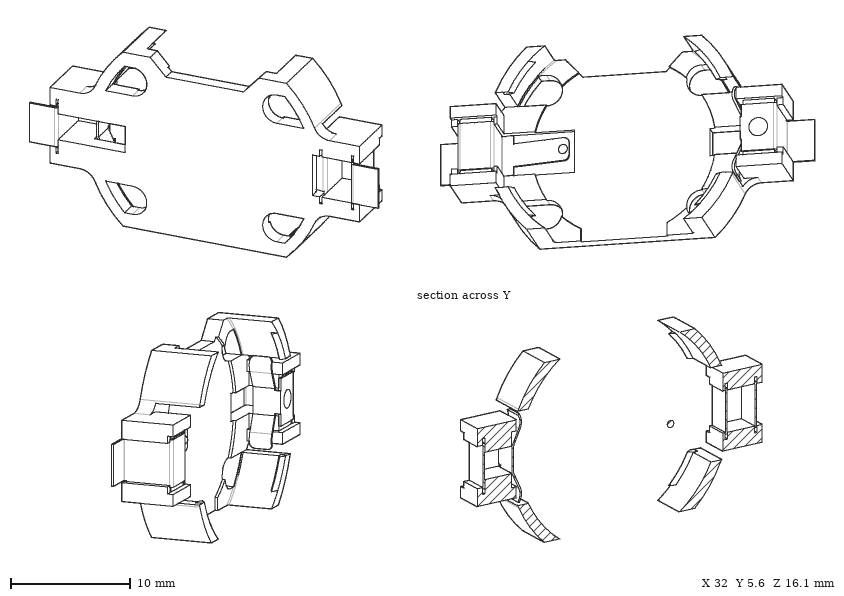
import cadquery as cq
import math


outer_radius = 11.0
half_height = 8.05
arm_reach = 14.2
arm_half_width = 3.5
arm_fillet = 1.5
base_thickness = 1.45
wall_height = 5.4
arm_height = 4.65
arm_inner_x = 10.27
wall_gap_half_width = 4.2

cell_radius = 10.0
cavity_fillet = 0.12
notch_half_width = 5.0
notch_floor_half_width = 3.56
notch_z = 6.5
recess_radius = 7.85
recess_channel_half_width = 3.7
recess_depth = 0.25

window_radius = 1.3
window_x = 6.62
window_z = 5.48
lip_projection = 0.4
lip_bottom = 4.8
lip_peak = 5.05

metal = 0.2
saddle_outer_x = 13.65
saddle_inner_x = 10.55
saddle_bottom = 4.15
saddle_top = saddle_bottom + metal
saddle_half_width = 2.05
outer_leg_inside = saddle_outer_x - metal
inner_leg_outside = saddle_inner_x + metal
bend_outer = 0.25
bend_inner = bend_outer - metal

tab_end = 16.0
tab_half_width = 1.8
tab_bottom = -0.2
tab_top = tab_bottom + metal
shoulder_y = 0.2

strip_bottom = 1.85
strip_top = 3.83
strip_corner = 0.45
stem_half_width = 1.0
wing_reach = 4.0
wing_radius = 1.2
wing_crest_x = -9.95
wing_rise_angle = math.radians(25)
wing_tip_angle = math.radians(35)
dome_radius = 0.8
dome_height = 0.2

finger_tip_x = 4.58
finger_tip_top = 2.07
finger_slope = 0.17
finger_drop = metal * math.hypot(1, finger_slope)
finger_half_width = 1.0
finger_corner = 0.45
finger_root_half_width = 1.75
finger_root_x = 9.5
dimple_x = 5.11
dimple_radius = 0.4
dimple_height = 0.28

channel_half_width = 2.48
pocket_half_width = 1.87
pocket_inner_x = 9.88
opening_half_width = 1.2
opening_inner_x = 7.3
finger_channel_floor = 0.8
finger_channel_end = 4.3


def block(x_range, y_range, z_range):
    """Box between two limits along each axis."""
    (x0, x1), (y0, y1), (z0, z1) = x_range, y_range, z_range
    centre = ((x0 + x1) / 2, (y0 + y1) / 2, (z0 + z1) / 2)
    return cq.Workplane("XY").box(abs(x1 - x0), abs(y1 - y0), abs(z1 - z0)).translate(centre)


def disc(radius, y_range, centre_x=0.0):
    """Cylinder with its axis along Y."""
    y0, y1 = y_range
    return cq.Workplane("XZ", origin=(centre_x, y0, 0)).circle(radius).extrude(y0 - y1)


def spherical_cap(base_radius, height):
    """Dome standing on y = 0, with its summit on the +Y axis."""
    ball_radius = (base_radius**2 + height**2) / (2 * height)
    half_angle = math.asin(base_radius / ball_radius) / 2
    mid_point = (ball_radius * math.sin(half_angle), height - ball_radius * (1 - math.cos(half_angle)))
    profile = cq.Workplane("XY").moveTo(0, 0).lineTo(base_radius, 0)
    profile = profile.threePointArc(mid_point, (0, height)).close()
    return profile.revolve(360, (0, 0, 0), (0, 1, 0))


def outline_prism(height):
    """Round body with flats, blended into the two arms."""
    body = disc(outer_radius, (0, height))
    body = body.intersect(block((-arm_reach, arm_reach), (0, height), (-half_height, half_height)))
    body = body.union(block((-arm_reach, arm_reach), (0, height), (-arm_half_width, arm_half_width)))
    corner_x = math.sqrt(outer_radius**2 - arm_half_width**2)
    for side in (-1, 1):
        for end in (-1, 1):
            corner = (side * corner_x, height / 2, end * arm_half_width)
            body = body.edges(cq.selectors.NearestToPointSelector(corner)).fillet(arm_fillet)
    return body


def side_walls():
    walls = outline_prism(wall_height)
    return walls.cut(
        block(
            (-arm_reach, arm_reach),
            (base_thickness, wall_height),
            (-wall_gap_half_width, wall_gap_half_width),
        )
    )


def cell_cavity():
    cavity = disc(cell_radius, (base_thickness, wall_height))
    return cavity.faces("<Y").edges().fillet(cavity_fillet)


def arms():
    """Both arms, as one bar with the space between them removed."""
    y_range = (0, arm_height)
    z_range = (-arm_half_width, arm_half_width)
    bar = block((-arm_reach, arm_reach), y_range, z_range)
    return bar.cut(block((-arm_inner_x, arm_inner_x), y_range, z_range))


def rim_contact_recess():
    """Recess in the inner end of the -X arm, behind the strip's stem."""
    return block(
        (-inner_leg_outside, -arm_inner_x),
        (base_thickness, arm_height),
        (-channel_half_width, channel_half_width),
    )


def edge_notch():
    profile = [
        (-notch_half_width, half_height),
        (-notch_floor_half_width, notch_z),
        (notch_floor_half_width, notch_z),
        (notch_half_width, half_height),
    ]
    return cq.Workplane("XZ").polyline(profile).close().extrude(-wall_height)


def floor_recess():
    y_range = (base_thickness - recess_depth, base_thickness)
    channel = block(
        (-recess_channel_half_width, recess_channel_half_width), y_range, (-half_height, half_height)
    )
    return disc(recess_radius, y_range).union(channel)


def windows():
    """Four openings, round towards the middle and bounded outside by the cell circle."""
    cutters = None
    for side in (-1, 1):
        for end in (-1, 1):
            cutter = disc(window_radius, (0, base_thickness), side * window_x).union(
                block(
                    (side * window_x, side * cell_radius),
                    (0, base_thickness),
                    (-window_radius, window_radius),
                )
            )
            cutter = cutter.translate((0, 0, end * window_z))
            cutters = cutter if cutters is None else cutters.union(cutter)
    return cutters.intersect(disc(cell_radius, (0, base_thickness)))


def snap_lips():
    """Ridges inside the walls, as wide as the windows, that hold the cell down."""
    root_radius = cell_radius + lip_projection
    profile = [
        (root_radius, lip_bottom),
        (cell_radius, lip_bottom),
        (cell_radius - lip_projection, lip_peak),
        (cell_radius, wall_height),
        (root_radius, wall_height),
    ]
    ring = cq.Workplane("XY").polyline(profile).close().revolve(360, (0, 0, 0), (0, 1, 0))
    z_range = (window_z - window_radius, window_z + window_radius)
    x_range = (-outer_radius, outer_radius)
    upper = block(x_range, (0, wall_height), z_range)
    return ring.intersect(upper.union(upper.mirror("XY")))


def contact_seat(side):
    """Channel, outer slot and end notch that take a contact's saddle and tab."""
    channel = block(
        (side * cell_radius, side * arm_reach),
        (saddle_bottom, arm_height),
        (-channel_half_width, channel_half_width),
    )
    slot = block(
        (side * outer_leg_inside, side * saddle_outer_x),
        (0, saddle_bottom),
        (-channel_half_width, channel_half_width),
    )
    end_notch = block(
        (side * outer_leg_inside, side * arm_reach),
        (0, saddle_bottom),
        (-pocket_half_width, pocket_half_width),
    )
    return channel.union(slot).union(end_notch)


def rim_contact_opening():
    return block(
        (-outer_leg_inside, -opening_inner_x),
        (0, saddle_bottom),
        (-opening_half_width, opening_half_width),
    )


def base_contact_pocket():
    """Through pocket, slot for the inner leg and the channel under the finger."""
    pocket_z = (-pocket_half_width, pocket_half_width)
    pocket = block((pocket_inner_x, outer_leg_inside), (0, saddle_bottom), pocket_z)
    inner_slot = block(
        (saddle_inner_x, inner_leg_outside),
        (0, saddle_bottom),
        (-channel_half_width, channel_half_width),
    )
    finger_channel = block(
        (finger_channel_end, pocket_inner_x), (finger_channel_floor, base_thickness), pocket_z
    )
    return pocket.union(inner_slot).union(finger_channel)


def make_housing():
    body = outline_prism(base_thickness).union(side_walls())
    body = body.cut(cell_cavity()).union(arms())
    body = body.cut(edge_notch()).cut(floor_recess()).cut(windows())
    body = body.union(snap_lips())
    for side in (-1, 1):
        body = body.cut(contact_seat(side))
    body = body.cut(rim_contact_opening()).cut(rim_contact_recess())
    return body.cut(base_contact_pocket())


def bent_sheet(outline, bends):
    """Sheet-metal strip of saddle width from its side outline, with rounded bends."""
    sheet = cq.Workplane("XY").polyline(outline).close().extrude(saddle_half_width, both=True)
    for (x, y), radius in bends:
        sheet = sheet.edges(cq.selectors.NearestToPointSelector((x, y, 0))).fillet(radius)
    return sheet


def trim_tab(sheet):
    """Narrow the outer leg's foot and the tab to the tab width."""
    for end in (-1, 1):
        sheet = sheet.cut(
            block(
                (outer_leg_inside, tab_end),
                (tab_bottom, shoulder_y),
                (end * tab_half_width, end * saddle_half_width),
            )
        )
    return sheet


tab_outline = [
    (saddle_outer_x, saddle_top),
    (saddle_outer_x, tab_top),
    (tab_end, tab_top),
    (tab_end, tab_bottom),
    (outer_leg_inside, tab_bottom),
    (outer_leg_inside, saddle_bottom),
]
tab_bends = [
    (tab_outline[0], bend_outer),
    (tab_outline[1], bend_inner),
    (tab_outline[4], bend_outer),
]


def wing_profile():
    """Half of the strip's section across Y: flat stem, rising flank and round bulge."""
    centre_x = wing_crest_x - wing_radius
    centre_z = wing_reach - (wing_radius + metal) * math.sin(wing_tip_angle)
    stem_outside = -inner_leg_outside

    def on_bulge(radius, angle):
        return (centre_x + radius * math.cos(angle), centre_z + radius * math.sin(angle))

    def flank_foot(radius, stem_x):
        x, z = on_bulge(radius, -wing_rise_angle)
        return (stem_x, z - (x - stem_x) / math.tan(wing_rise_angle))

    far_radius = wing_radius + metal
    stem_inside = stem_outside + metal
    return (
        cq.Workplane("XZ")
        .moveTo(stem_outside, 0)
        .lineTo(*flank_foot(wing_radius, stem_outside))
        .lineTo(*on_bulge(wing_radius, -wing_rise_angle))
        .threePointArc(on_bulge(wing_radius, 0), on_bulge(wing_radius, wing_tip_angle))
        .lineTo(*on_bulge(far_radius, wing_tip_angle))
        .threePointArc(on_bulge(far_radius, 0), on_bulge(far_radius, -wing_rise_angle))
        .lineTo(*flank_foot(far_radius, stem_inside))
        .lineTo(stem_inside, 0)
        .close()
    )


def spring_strip():
    """Winged strip with round corners, hung from the saddle by a central stem."""
    wing = wing_profile().extrude(-saddle_top)
    front = block((-arm_reach, 0), (strip_bottom, strip_top), (-wing_reach, wing_reach))
    front = front.edges("|X").fillet(strip_corner)
    stem = block((-arm_reach, 0), (strip_bottom, saddle_top), (-stem_half_width, stem_half_width))
    return wing.union(wing.mirror("XY")).intersect(front.union(stem))


def make_rim_contact():
    saddle_end = inner_leg_outside - metal / 2
    outline = tab_outline + [(saddle_end, saddle_bottom), (saddle_end, saddle_top)]
    sheet = trim_tab(bent_sheet(outline, tab_bends)).mirror("YZ")
    saddle_middle = (saddle_outer_x + saddle_inner_x) / 2
    dome = spherical_cap(dome_radius, dome_height).translate((-saddle_middle, saddle_top, 0))
    return sheet.union(spring_strip()).union(dome)


def finger_top(x):
    return finger_tip_top - finger_slope * (x - finger_tip_x)


def finger_plan():
    """Outline across the finger: narrow with round corners at its tip, wide at its root."""
    narrow = block(
        (finger_tip_x, saddle_inner_x), (0, saddle_top), (-finger_half_width, finger_half_width)
    )
    narrow = narrow.edges("|Y and <X").fillet(finger_corner)
    root = block(
        (finger_root_x, saddle_inner_x),
        (0, saddle_top),
        (-finger_root_half_width, finger_root_half_width),
    )
    return narrow.union(root)


def make_base_contact():
    finger_corner_top = (saddle_inner_x, finger_top(saddle_inner_x))
    finger_corner_bottom = (inner_leg_outside, finger_top(inner_leg_outside) - finger_drop)
    saddle_corner_top = (saddle_inner_x, saddle_top)
    saddle_corner_bottom = (inner_leg_outside, saddle_bottom)
    outline = tab_outline + [
        saddle_corner_bottom,
        finger_corner_bottom,
        (finger_tip_x, finger_tip_top - finger_drop),
        (finger_tip_x, finger_tip_top),
        finger_corner_top,
        saddle_corner_top,
    ]
    bends = tab_bends + [
        (saddle_corner_top, bend_outer),
        (finger_corner_bottom, bend_outer),
        (finger_corner_top, bend_inner),
    ]
    sheet = trim_tab(bent_sheet(outline, bends))
    saddle_zone = block(
        (saddle_inner_x, tab_end), (tab_bottom, saddle_top), (-saddle_half_width, saddle_half_width)
    )
    sheet = sheet.intersect(saddle_zone.union(finger_plan()))
    dimple = spherical_cap(dimple_radius, dimple_height)
    dimple = dimple.rotate((0, 0, 0), (0, 0, 1), -math.degrees(math.atan(finger_slope)))
    return sheet.union(dimple.translate((dimple_x, finger_top(dimple_x), 0)))


housing = make_housing()
rim_contact = make_rim_contact()
base_contact = make_base_contact()

bodies = [housing, rim_contact, base_contact]
result = cq.Compound.makeCompound([body.solids().val() for body in bodies])